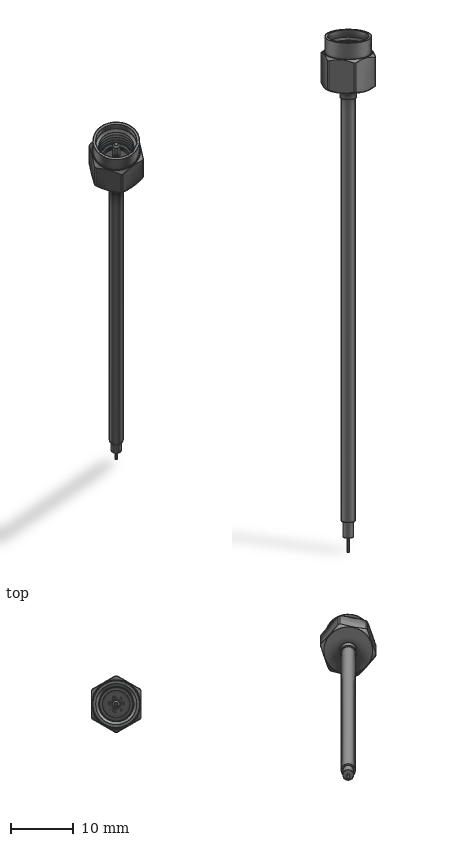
import cadquery as cq
import math

conductor_length = 2.6
dielectric_length = 2.7
ferrule_bottom = 76.3
nut_bottom = 78.1
hex_top = 83.8
connector_top = 86.5

conductor_diameter = 0.35
dielectric_diameter = 1.7
jacket_diameter = 2.25

ferrule_diameter = 2.7
hex_across_flats = 8.0
hex_across_corners = 9.0
barrel_diameter = 7.4
chamfer_face_diameter = 7.8
chamfer_height = 0.4

bore_diameter = 6.6
socket_depth = 6.05
thread_minor_diameter = 5.6
thread_start_depth = 1.2
thread_pitch = 0.7
thread_ridge_count = 6
sleeve_diameter = 5.4
sleeve_bore_diameter = 4.4
sleeve_top_depth = 4.5
sleeve_bore_depth = 5.4
pin_diameter = 1.2
pin_tip_depth = 0.9
pin_tip_diameter = 0.6
pin_taper_height = 0.35


def cylinder(diameter, bottom, top):
    """Cylinder on the Z axis between two heights."""
    return cq.Workplane("XY").workplane(offset=bottom).circle(diameter / 2).extrude(top - bottom)


def revolve_profile(points):
    """Solid of revolution about Z from a closed (radius, height) outline."""
    return cq.Workplane("XZ").polyline(points).close().revolve(360, (0, 0, 0), (0, 1, 0))


def make_hexagon():
    """Hexagonal grip with corners on the Y axis and turned chamfers at both ends."""
    sharp_corner_diameter = hex_across_flats / math.cos(math.pi / 6)
    prism = (
        cq.Workplane("XY")
        .workplane(offset=nut_bottom)
        .polygon(6, sharp_corner_diameter)
        .extrude(hex_top - nut_bottom)
        .rotate((0, 0, 0), (0, 0, 1), 90)
    )
    face_radius = chamfer_face_diameter / 2
    corner_radius = hex_across_corners / 2
    turned_envelope = revolve_profile([
        (0, nut_bottom),
        (face_radius, nut_bottom),
        (corner_radius, nut_bottom + chamfer_height),
        (corner_radius, hex_top - chamfer_height),
        (face_radius, hex_top),
        (0, hex_top),
    ])
    return prism.intersect(turned_envelope)


def make_thread_ridge(index):
    """One triangular ring standing inward from the bore wall."""
    ridge_top = connector_top - thread_start_depth - index * thread_pitch
    bore_radius = bore_diameter / 2
    return revolve_profile([
        (bore_radius, ridge_top),
        (thread_minor_diameter / 2, ridge_top - thread_pitch / 2),
        (bore_radius, ridge_top - thread_pitch),
        (barrel_diameter / 2, ridge_top - thread_pitch),
        (barrel_diameter / 2, ridge_top),
    ])


def make_contact_sleeve():
    """Hollow sleeve standing on the socket floor."""
    floor = connector_top - socket_depth
    sleeve = cylinder(sleeve_diameter, floor, connector_top - sleeve_top_depth)
    return sleeve.cut(cylinder(sleeve_bore_diameter, connector_top - sleeve_bore_depth, connector_top))


def make_pin():
    """Centre contact with a tapered tip."""
    tip = connector_top - pin_tip_depth
    base = connector_top - socket_depth
    return revolve_profile([
        (0, base),
        (pin_diameter / 2, base),
        (pin_diameter / 2, tip - pin_taper_height),
        (pin_tip_diameter / 2, tip),
        (0, tip),
    ])


def make_connector():
    """Coupling nut, socket and rear ferrule as one body."""
    body = make_hexagon().union(cylinder(barrel_diameter, nut_bottom, connector_top))
    body = body.union(cylinder(ferrule_diameter, ferrule_bottom, nut_bottom))
    body = body.cut(cylinder(bore_diameter, connector_top - socket_depth, connector_top))
    for index in range(thread_ridge_count):
        body = body.union(make_thread_ridge(index))
    return body.union(make_contact_sleeve()).union(make_pin())


def make_cable():
    """Jacketed cable with stripped dielectric and conductor at its lower end."""
    jacket_bottom = conductor_length + dielectric_length
    conductor = cylinder(conductor_diameter, 0, conductor_length)
    dielectric = cylinder(dielectric_diameter, conductor_length, jacket_bottom)
    jacket = cylinder(jacket_diameter, jacket_bottom, ferrule_bottom)
    return jacket.union(dielectric).union(conductor)


connector = make_connector()
cable = make_cable()

result = cq.Compound.makeCompound([connector.val(), cable.val()])